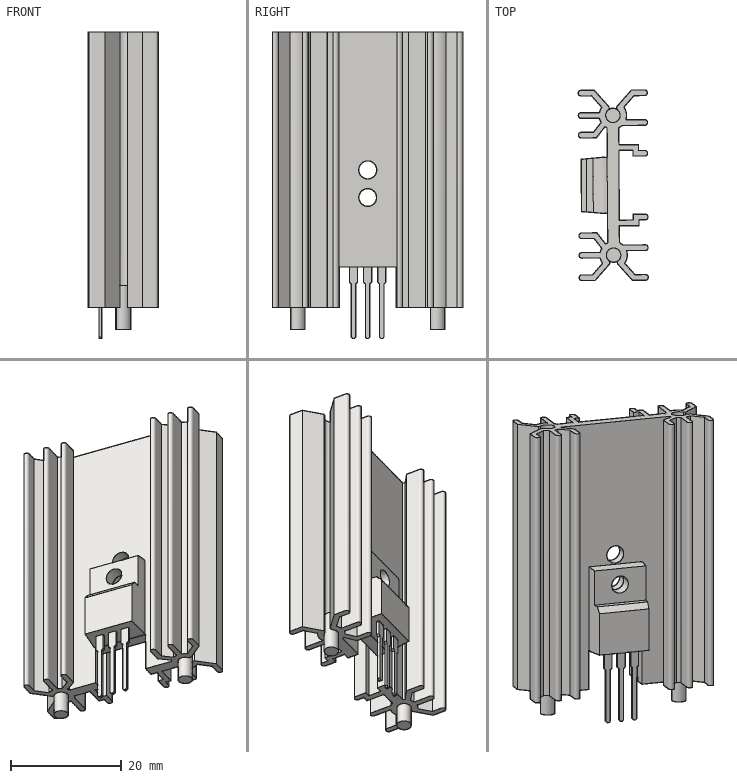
import cadquery as cq
import math

ASSEMBLY_TURN = 0.3
OVERALL_HEIGHT = 55.65

SINK_HEIGHT = 50.05
WEB_THICKNESS = 2.15
HUB_SPACING = 25.4
HUB_DIAMETER = 5.0
CHANNEL_DIAMETER = 2.6
SLOT_WIDTH = 1.35
HUB_Y = HUB_SPACING / 2

FIN_THICKNESS = 1.05
FIN_TIP_X = 6.3
OUTER_FIN_Y = 4.05
OUTER_BEND_X = 3.6
INNER_FIN_Y = -3.55
INNER_BEND_X = 3.3
INNER_ROOT_X = 0.5
BACK_FIN_Y = -1.35
CLIP_ROOT_Y = -5.85
CLIP_STEP_X = 4.1
CLIP_TIP_Y = CLIP_ROOT_Y - FIN_THICKNESS

PIN_LENGTH = 8.0
PIN_PROTRUSION = 4.0

SINK_HOLE_DIAMETER = 3.2
LOWER_HOLE_Z = 20.0
UPPER_HOLE_Z = 25.0

PACKAGE_WIDTH = 10.25
PACKAGE_BOTTOM_Z = 7.35
PACKAGE_TOP_Z = 23.2
PARTING_DEPTH = 0.65
TAB_DEPTH = 2.55
PACKAGE_DEPTH = 4.75
BODY_TOP_Z = 16.6
BODY_BEVEL_DEPTH = 0.95
BODY_BEVEL_HEIGHT = 1.05
DRAFT_ANGLE = 5.0
TAB_HOLE_DIAMETER = 3.15
WEB_FACE_X = -WEB_THICKNESS / 2

LEAD_COUNT = 3
LEAD_PITCH = 2.55
LEAD_THICKNESS = 0.5
LEAD_DEPTH = 3.05
LEAD_WIDTH = 0.85
SHOULDER_WIDTH = 1.5
SHOULDER_END_Z = 4.6
SHOULDER_TAPER = 0.35
LEAD_TIP_Z = SINK_HEIGHT - OVERALL_HEIGHT
LEAD_TIP_WIDTH = 0.35
LEAD_TIP_TAPER = 0.3


def unit_normal(start, end):
    """Unit vector square to the left of the line from start to end."""
    length = math.hypot(end[0] - start[0], end[1] - start[1])
    return cq.Vector((start[1] - end[1]) / length, (end[0] - start[0]) / length)


def fin(path):
    """Fin of constant thickness along a centreline, with mitred bends and a round tip at its end."""
    radius = FIN_THICKNESS / 2
    normals = [unit_normal(start, end) for start, end in zip(path, path[1:])]
    left_side = []
    right_side = []
    for point, before, after in zip(path, normals[:1] + normals, normals + normals[-1:]):
        miter = (before + after) * (radius / (1 + before.dot(after)))
        left_side.append(cq.Vector(*point) + miter)
        right_side.append(cq.Vector(*point) - miter)
    along = cq.Vector(normals[-1].y, -normals[-1].x)
    tip = cq.Vector(*path[-1]) + along * radius
    return (
        cq.Workplane("XY")
        .polyline(left_side)
        .threePointArc(tip, right_side[-1])
        .polyline(right_side[-2::-1], includeCurrent=True)
        .close()
        .extrude(SINK_HEIGHT)
    )


def fin_paths():
    """Fin centrelines around the +Y hub, each running from its root to the centre of its tip."""
    tip_x = FIN_TIP_X - FIN_THICKNESS / 2
    outer_y = HUB_Y + OUTER_FIN_Y
    inner_y = HUB_Y + INNER_FIN_Y
    back_y = HUB_Y + BACK_FIN_Y
    clip_root_y = HUB_Y + CLIP_ROOT_Y
    clip_tip_y = HUB_Y + CLIP_TIP_Y
    return [
        [(0, HUB_Y), (-OUTER_BEND_X, outer_y), (-tip_x, outer_y)],
        [(0, HUB_Y), (OUTER_BEND_X, outer_y), (tip_x, outer_y)],
        [(0, HUB_Y), (-tip_x, HUB_Y)],
        [(-INNER_ROOT_X, HUB_Y), (-INNER_BEND_X, inner_y), (-tip_x, inner_y)],
        [(0, back_y), (tip_x, back_y)],
        [(0, clip_root_y), (CLIP_STEP_X, clip_root_y), (CLIP_STEP_X, clip_tip_y), (tip_x, clip_tip_y)],
    ]


def sink_end():
    """Hub with its open mouth, fins, slotted channel and solder pin at the +Y end of the heatsink."""
    end = cq.Workplane("XY").center(0, HUB_Y).circle(HUB_DIAMETER / 2).extrude(SINK_HEIGHT)
    outer_y = HUB_Y + OUTER_FIN_Y
    mouth = (
        cq.Workplane("XY")
        .polyline([(0, HUB_Y), (OUTER_BEND_X, outer_y), (-OUTER_BEND_X, outer_y)])
        .close()
        .extrude(SINK_HEIGHT)
    )
    end = end.cut(mouth)
    for path in fin_paths():
        end = end.union(fin(path))
    channel = cq.Workplane("XY").center(0, HUB_Y).circle(CHANNEL_DIAMETER / 2).extrude(SINK_HEIGHT)
    slot_length = HUB_DIAMETER / 2
    slot = (
        cq.Workplane("XY")
        .center(0, HUB_Y + slot_length / 2)
        .rect(SLOT_WIDTH, slot_length)
        .extrude(SINK_HEIGHT)
    )
    pin = (
        cq.Workplane("XY", origin=(0, HUB_Y, -PIN_PROTRUSION))
        .circle(CHANNEL_DIAMETER / 2)
        .extrude(PIN_LENGTH)
    )
    return end.cut(channel).cut(slot).union(pin)


def cross_hole(diameter, z):
    """Cutter along X through the web and the package at height z."""
    return (
        cq.Workplane("YZ", origin=(0, 0, z))
        .circle(diameter / 2)
        .extrude(FIN_TIP_X, both=True)
    )


def make_heatsink():
    """Extruded heatsink with its pins, two mounting holes and the lead notch."""
    web_length = HUB_SPACING - (HUB_DIAMETER + CHANNEL_DIAMETER) / 2
    sink = cq.Workplane("XY").rect(WEB_THICKNESS, web_length).extrude(SINK_HEIGHT)
    plus_y_end = sink_end()
    sink = sink.union(plus_y_end).union(plus_y_end.mirror("XZ"))
    for z in (LOWER_HOLE_Z, UPPER_HOLE_Z):
        sink = sink.cut(cross_hole(SINK_HOLE_DIAMETER, z))
    notch = cq.Workplane("XY").rect(WEB_THICKNESS, PACKAGE_WIDTH).extrude(PACKAGE_BOTTOM_Z)
    return sink.cut(notch)


def make_package():
    """Package drafted both ways from its parting plane, with its tab and bevelled body."""
    slope = math.tan(math.radians(DRAFT_ANGLE))
    back_draft = PARTING_DEPTH * slope
    tab_draft = (TAB_DEPTH - PARTING_DEPTH) * slope
    front_draft = (PACKAGE_DEPTH - PARTING_DEPTH) * slope
    parting_x = WEB_FACE_X - PARTING_DEPTH
    tab_x = WEB_FACE_X - TAB_DEPTH
    front_x = WEB_FACE_X - PACKAGE_DEPTH
    half_width = PACKAGE_WIDTH / 2
    plan = (
        cq.Workplane("XY", origin=(0, 0, PACKAGE_BOTTOM_Z))
        .polyline([
            (WEB_FACE_X, back_draft - half_width),
            (WEB_FACE_X, half_width - back_draft),
            (parting_x, half_width),
            (front_x, half_width - front_draft),
            (front_x, front_draft - half_width),
            (parting_x, -half_width),
        ])
        .close()
        .extrude(PACKAGE_TOP_Z - PACKAGE_BOTTOM_Z)
    )
    side = (
        cq.Workplane("XZ")
        .polyline([
            (WEB_FACE_X, PACKAGE_BOTTOM_Z + back_draft),
            (WEB_FACE_X, PACKAGE_TOP_Z - back_draft),
            (parting_x, PACKAGE_TOP_Z),
            (tab_x, PACKAGE_TOP_Z - tab_draft),
            (tab_x, BODY_TOP_Z),
            (front_x + BODY_BEVEL_DEPTH, BODY_TOP_Z),
            (front_x, BODY_TOP_Z - BODY_BEVEL_HEIGHT),
            (front_x, PACKAGE_BOTTOM_Z + front_draft),
            (parting_x, PACKAGE_BOTTOM_Z),
        ])
        .close()
        .extrude(half_width, both=True)
    )
    return plan.intersect(side)


def lead(y):
    """Flat lead with a wide shoulder and a pointed tip, rooted inside the package at y."""
    half_profile = [
        (SHOULDER_WIDTH / 2, PACKAGE_BOTTOM_Z + SHOULDER_TAPER),
        (SHOULDER_WIDTH / 2, SHOULDER_END_Z),
        (LEAD_WIDTH / 2, SHOULDER_END_Z - SHOULDER_TAPER),
        (LEAD_WIDTH / 2, LEAD_TIP_Z + LEAD_TIP_TAPER),
        (LEAD_TIP_WIDTH / 2, LEAD_TIP_Z),
    ]
    mirrored_half = [(-across, z) for across, z in reversed(half_profile)]
    return (
        cq.Workplane("YZ", origin=(WEB_FACE_X - LEAD_DEPTH, y, 0))
        .polyline(half_profile + mirrored_half)
        .close()
        .extrude(LEAD_THICKNESS / 2, both=True)
    )


def make_transistor():
    """Package with its tab hole, joined to its row of leads."""
    transistor = make_package().cut(cross_hole(TAB_HOLE_DIAMETER, LOWER_HOLE_Z))
    for index in range(LEAD_COUNT):
        y = (index - (LEAD_COUNT - 1) / 2) * LEAD_PITCH
        transistor = transistor.union(lead(y))
    return transistor


def turned(body):
    """Body turned with the whole assembly about the vertical axis."""
    return body.rotate((0, 0, 0), (0, 0, 1), ASSEMBLY_TURN)


heatsink = turned(make_heatsink())
transistor = turned(make_transistor())

result = cq.Compound.makeCompound([heatsink.solids().val(), transistor.solids().val()])